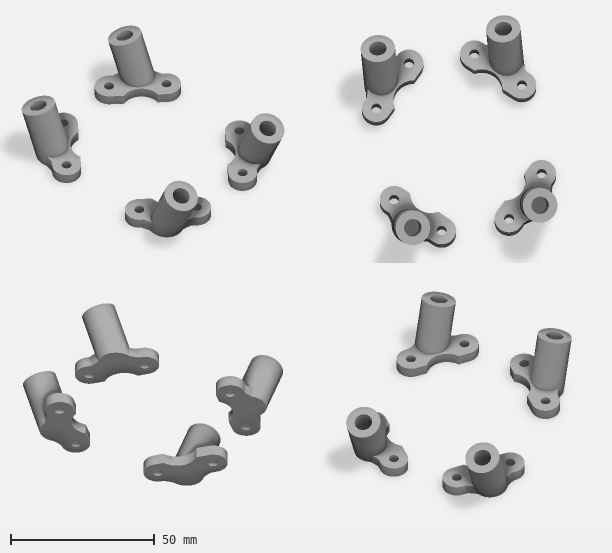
import cadquery as cq
import math

plate_thickness = 4.0
lug_diameter = 10.0
lug_radius = lug_diameter / 2
screw_spacing = 20.0
screw_hole_diameter = 3.4

recess_radius = 7.2
recess_depth = 3.1

gusset_root_half_width = 8.6
gusset_tip_half_width = 4.1
gusset_tip_height = 7.95
gusset_sagitta = 0.195
gusset_side_shift = 0.85

post_diameter = 12.0
post_bore_diameter = 6.1
post_bore_depth = 12.6
post_tilt = 20.4
overall_height = 21.6

bar_angle = -45

bracket_places = [
    (-24.0, 19.0, -0.8),
    (24.1, 19.0, -0.1),
    (-24.0, -18.9, -0.55),
    (23.2, -18.1, 0.7),
]


def make_bar():
    """Straight bar with round ends."""
    return cq.Workplane("XY").slot2D(screw_spacing + lug_diameter, lug_diameter).extrude(plate_thickness)


def make_recess(offset):
    """Upright cylinder to cut from the inner side of the bar."""
    center_y = recess_depth - lug_radius - recess_radius
    return cq.Workplane("XY").center(offset, center_y).circle(recess_radius).extrude(plate_thickness)


def make_screw_holes():
    """Cylinders for the screw holes at the two ends of the bar."""
    return (
        cq.Workplane("XY")
        .pushPoints([(-screw_spacing / 2, 0), (screw_spacing / 2, 0)])
        .circle(screw_hole_diameter / 2)
        .extrude(plate_thickness)
    )


def turn_diagonal(shape):
    """Turn a shape from the frame of the bar to its diagonal place."""
    return shape.rotate((0, 0, 0), (0, 0, 1), bar_angle)


def make_gusset():
    """Flare with hollow sides, skewed along the bar from its top down to its bottom."""
    root_right = cq.Vector(gusset_root_half_width, lug_radius, plate_thickness)
    tip_right = cq.Vector(gusset_tip_half_width, gusset_tip_height, plate_thickness)
    tip_left = cq.Vector(-tip_right.x, tip_right.y, plate_thickness)
    root_left = cq.Vector(-root_right.x, root_right.y, plate_thickness)
    foot_right = cq.Vector(root_right.x, 0, plate_thickness)
    foot_left = cq.Vector(root_left.x, 0, plate_thickness)

    side = tip_right - root_right
    inward = cq.Vector(-abs(side.y), -abs(side.x), 0).normalized() * gusset_sagitta
    middle_right = (root_right + tip_right) * 0.5 + inward
    middle_left = cq.Vector(-middle_right.x, middle_right.y, plate_thickness)

    outline = cq.Wire.assembleEdges([
        cq.Edge.makeLine(foot_left, foot_right),
        cq.Edge.makeLine(foot_right, root_right),
        cq.Edge.makeThreePointArc(root_right, middle_right, tip_right),
        cq.Edge.makeLine(tip_right, tip_left),
        cq.Edge.makeThreePointArc(tip_left, middle_left, root_left),
        cq.Edge.makeLine(root_left, foot_left),
    ])
    skew = cq.Vector(-gusset_side_shift, 0, -plate_thickness)
    return cq.Workplane(cq.Solid.extrudeLinear(outline, [], skew))


def make_leaning_cylinder(diameter, top_center, axis, length):
    """Cylinder that runs from its top centre down along the post axis."""
    return cq.Workplane(cq.Solid.makeCylinder(diameter / 2, length, top_center, axis * -1))


def make_bracket(recess_offset):
    """Bracket for the +X +Y corner, with the middle of its bar at the origin."""
    tilt = math.radians(post_tilt)
    axis = cq.Vector(math.sin(tilt), 0, math.cos(tilt))

    post_reach = lug_radius / math.sqrt(2)
    top_z = overall_height - post_diameter / 2 * math.sin(tilt)
    top_x = post_reach + (top_z - plate_thickness) * math.tan(tilt)
    top_center = cq.Vector(top_x, post_reach, top_z)

    post_length = top_z / math.cos(tilt) + post_diameter
    post = make_leaning_cylinder(post_diameter, top_center, axis, post_length)
    bore = make_leaning_cylinder(post_bore_diameter, top_center, axis, post_bore_depth)
    space_size = 4 * post_length
    space_above_ground = cq.Workplane("XY").box(
        space_size, space_size, space_size, centered=(True, True, False)
    )
    post = post.intersect(space_above_ground)

    foot = turn_diagonal(make_bar().union(make_gusset()))
    cuts = turn_diagonal(make_recess(recess_offset).union(make_screw_holes()))
    return foot.union(post).cut(bore).cut(cuts)


def place_bracket(bracket, x, y):
    """Mirror the bracket into the quadrant of its place and move it there."""
    if x < 0:
        bracket = bracket.mirror("YZ")
    if y < 0:
        bracket = bracket.mirror("XZ")
    return bracket.translate((x, y, 0))


brackets = [
    place_bracket(make_bracket(recess_offset), x, y).val()
    for x, y, recess_offset in bracket_places
]

result = cq.Compound.makeCompound([solid for bracket in brackets for solid in bracket.Solids()])